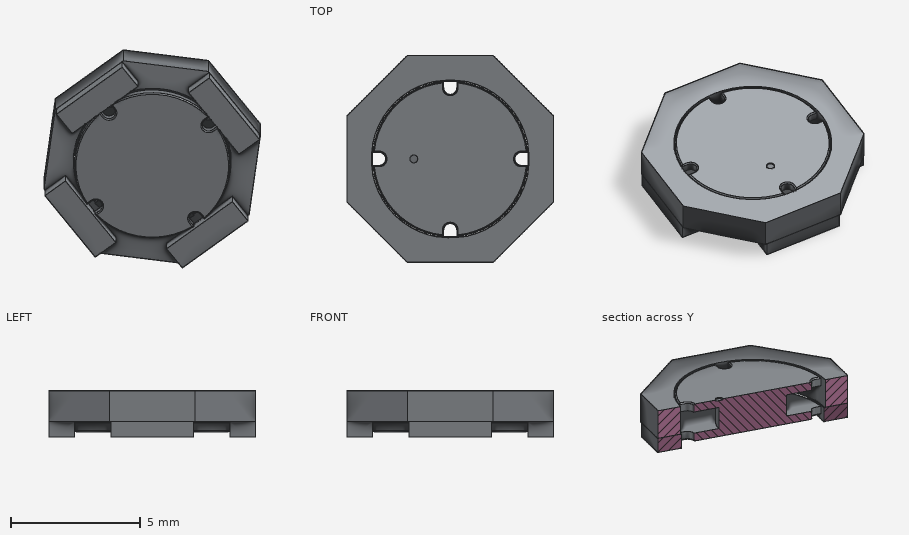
import cadquery as cq
import math

overall_width = 8.0
overall_height = 1.8
octagon_sides = 8
foot_height = 0.6
ring_height = overall_height - foot_height

foot_width = 3.2
foot_depth = 1.0

core_bottom = 0.2
core_radius = 3.0
flange_thickness = 0.36
web_radius = 1.44
edge_chamfer = 0.05
rim_gap = 0.05
bore_radius = core_radius + rim_gap
core_height = overall_height - core_bottom

notch_width = 0.5
notch_depth = 0.5

mark_radius = 0.15
mark_offset = 1.41
mark_depth = 0.05

side_angles = (0, 90, 180, 270)


def make_ring():
    """Regular octagon, flats on the X and Y sides, with a round bore."""
    corner_diameter = overall_width / math.cos(math.pi / octagon_sides)
    octagon = (
        cq.Workplane("XY", origin=(0, 0, foot_height))
        .polygon(octagon_sides, corner_diameter)
        .extrude(ring_height)
        .rotate((0, 0, 0), (0, 0, 1), 180 / octagon_sides)
    )
    bore = cq.Workplane("XY", origin=(0, 0, foot_height)).circle(bore_radius).extrude(ring_height)
    return octagon.cut(bore)


def make_notch_cutter():
    """Round-ended slot running inward from the rim on the +X side."""
    notch_radius = notch_width / 2
    arc_center = core_radius - notch_depth + notch_radius
    slot_length = notch_depth + notch_width
    return (
        cq.Workplane("XY", origin=(arc_center - notch_radius + slot_length / 2, 0, 0))
        .slot2D(slot_length, notch_width)
        .extrude(flange_thickness)
    )


def make_flange():
    """Notched disc standing on Z = 0, chamfered all around its lower edge."""
    flange = cq.Workplane("XY").circle(core_radius).extrude(flange_thickness)
    notch = make_notch_cutter()
    for angle in side_angles:
        flange = flange.cut(notch.rotate((0, 0, 0), (0, 0, 1), angle))
    return flange.faces("<Z").edges().chamfer(edge_chamfer)


def make_core():
    """Lower flange, web and mirrored upper flange, with the mark sunk into the top."""
    flange = make_flange()
    lower_flange = flange.translate((0, 0, core_bottom))
    upper_flange = flange.mirror("XY").translate((0, 0, overall_height))
    web = cq.Workplane("XY", origin=(0, 0, core_bottom)).circle(web_radius).extrude(core_height)
    mark = (
        cq.Workplane("XY", origin=(-mark_offset, 0, overall_height))
        .circle(mark_radius)
        .extrude(-mark_depth)
    )
    return lower_flange.union(web).union(upper_flange).cut(mark)


def make_foot(angle):
    """Rectangular terminal under the ring side that faces the given angle."""
    foot_center = (overall_width - foot_depth) / 2
    return (
        cq.Workplane("XY")
        .center(foot_center, 0)
        .rect(foot_depth, foot_width)
        .extrude(foot_height)
        .rotate((0, 0, 0), (0, 0, 1), angle)
    )


ring = make_ring()
core = make_core()
feet = [make_foot(angle) for angle in side_angles]

result = cq.Compound.makeCompound([ring.val(), core.val(), *[foot.val() for foot in feet]])